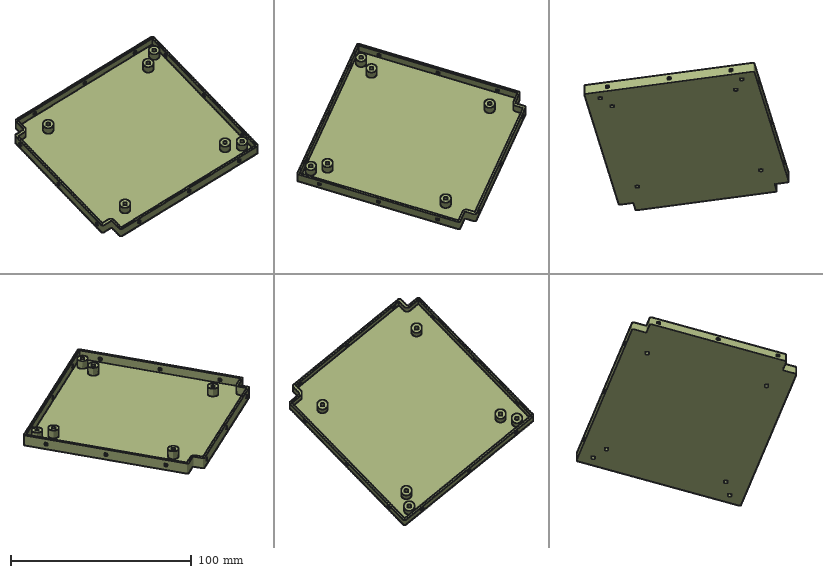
import cadquery as cq

body_size = 96.4
overall_length = 102.9
height = 6.6
tab_width = 80.1
tab_depth = overall_length - body_size

wall = 1.2
tab_side_wall = 1.7
floor = 1.2
outer_corner_radius = 1.0
notch_radius = 0.5
cavity_notch_radius = notch_radius + tab_side_wall

standoff_diameter = 6.0
standoff_height = 5.0
standoff_hole_diameter = 2.2
standoff_offset = 35.0
corner_standoff_x = 40.0
corner_standoff_y = 43.0

wall_hole_diameter = 2.0
wall_hole_pitch = standoff_offset
wall_hole_height = height / 2

body_center_y = tab_depth / 2


def tray_outline(inset, tab_side_inset):
    """Closed outline of the body and tab, moved inward by inset, or by tab_side_inset on the tab's sides."""
    half_body = body_size / 2 - inset
    half_tab = tab_width / 2 - tab_side_inset
    back = overall_length / 2 - inset
    front = -overall_length / 2 + inset
    step = -overall_length / 2 + tab_depth + inset
    return cq.Workplane("XY").polyline([
        (-half_body, back),
        (half_body, back),
        (half_body, step),
        (half_tab, step),
        (half_tab, front),
        (-half_tab, front),
        (-half_tab, step),
        (-half_body, step),
    ]).close()


def notch_edges(inset):
    """Box selector catching the vertical edges at the two inside corners of the outline."""
    margin = 0.1
    reach = tab_width / 2 + margin
    y = -overall_length / 2 + tab_depth + inset
    return cq.selectors.BoxSelector(
        (-reach, y - margin, -height), (reach, y + margin, 2 * height)
    )


def make_shell():
    """Open tray with rounded outer corners and rounded notches."""
    outer = tray_outline(0, 0).extrude(height)
    outer = outer.edges("|Z").edges(notch_edges(0)).fillet(notch_radius)
    convex_corners = [
        (side * half_width, y)
        for side in (-1, 1)
        for half_width, y in (
            (body_size / 2, overall_length / 2),
            (body_size / 2, -overall_length / 2 + tab_depth),
            (tab_width / 2, -overall_length / 2),
        )
    ]
    for x, y in convex_corners:
        corner = cq.selectors.NearestToPointSelector((x, y, height / 2))
        outer = outer.edges("|Z").edges(corner).fillet(outer_corner_radius)

    cavity = tray_outline(wall, tab_side_wall).extrude(height)
    cavity = cavity.edges("|Z").edges(notch_edges(wall)).fillet(cavity_notch_radius)
    return outer.cut(cavity.translate((0, 0, floor)))


def standoff_points():
    """Four standoffs in a square, plus one near each back corner."""
    offsets = (-standoff_offset, standoff_offset)
    square = [(x, y) for x in offsets for y in offsets]
    corners = [(x, corner_standoff_y) for x in (-corner_standoff_x, corner_standoff_x)]
    return [(x, body_center_y + y) for x, y in square + corners]


def make_standoffs():
    top = floor + standoff_height
    return cq.Workplane("XY").pushPoints(standoff_points()).circle(standoff_diameter / 2).extrude(top)


def make_standoff_holes():
    return cq.Workplane("XY").pushPoints(standoff_points()).circle(standoff_hole_diameter / 2).extrude(height)


def make_wall_holes():
    """Three holes in each of the four walls, cutting the walls only."""
    cut_length = 2 * wall
    radius = wall_hole_diameter / 2
    half_length = overall_length / 2
    half_width = body_size / 2
    holes = cq.Workplane("XY")
    for offset in (-wall_hole_pitch, 0, wall_hole_pitch):
        for side in (-1, 1):
            along_y = cq.Vector(0, side, 0)
            along_x = cq.Vector(side, 0, 0)
            y_start = cq.Vector(offset, side * (half_length - wall), wall_hole_height)
            x_start = cq.Vector(side * (half_width - wall), body_center_y + offset, wall_hole_height)
            holes = holes.add(cq.Solid.makeCylinder(radius, cut_length, y_start, along_y))
            holes = holes.add(cq.Solid.makeCylinder(radius, cut_length, x_start, along_x))
    return holes.combine()


result = make_shell().union(make_standoffs()).cut(make_standoff_holes()).cut(make_wall_holes())